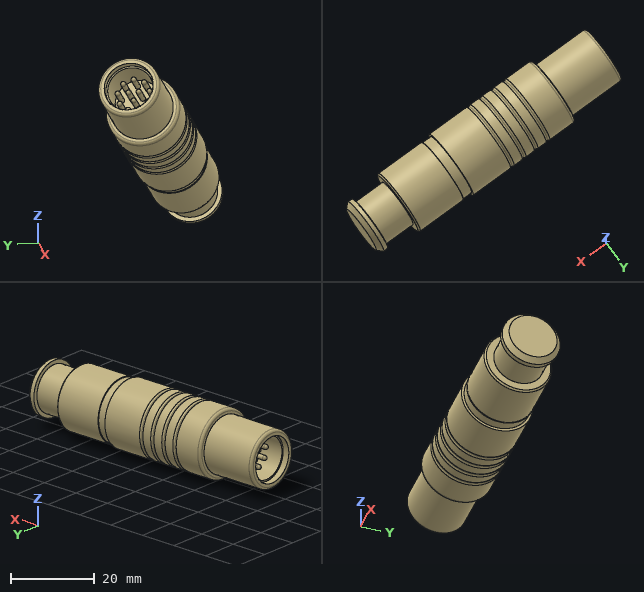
import cadquery as cq
import math

length = 71.8
grip_radius = 9.01

grip_start = 15.0
grip_end = 45.2
nut_start = 47.8
nut_end = 61.0
flange_start = 69.3

nose_radius = 7.55
collar_radius = 8.3
nut_radius = 8.55
neck_radius = 6.25
flange_radius = 7.3

edge_round = 0.7
nut_chamfer = 0.4
flange_chamfer = 1.3

groove_count = 4
first_groove = 23.1
groove_pitch = 3.5
groove_width = 1.1
groove_depth = 0.2

mouth_radius = 5.95
mouth_depth = 1.8
socket_radius = 5.5
socket_depth = 10.05

pin_radius = 0.65
pin_length = 5.2
outer_pin_count = 9
outer_pin_circle = 3.95
inner_pin_count = 3
inner_pin_circle = 1.45


def cylinder(start, end, radius):
    """Solid cylinder on the X axis between two stations."""
    return cq.Workplane("YZ", origin=(start, 0, 0)).circle(radius).extrude(end - start)


def make_body():
    """Stepped round body, each section with its own edge treatment."""
    nose = cylinder(0, grip_start, nose_radius).faces("<X").edges().fillet(edge_round)
    grip = cylinder(grip_start, grip_end, grip_radius).faces("<X").edges().fillet(edge_round)
    collar = cylinder(grip_end, nut_start, collar_radius)
    nut = cylinder(nut_start, nut_end, nut_radius).faces(">X").edges().chamfer(nut_chamfer)
    neck = cylinder(nut_end, flange_start, neck_radius)
    flange = cylinder(flange_start, length, flange_radius).faces(">X").edges().chamfer(flange_chamfer)
    return nose.union(grip).union(collar).union(nut).union(neck).union(flange)


def make_groove(center):
    """Shallow ring groove: a sloped front flank that runs tangent into a round rear flank."""
    half_width = groove_width / 2
    profile = (
        cq.Workplane("XY")
        .moveTo(center - half_width, grip_radius)
        .lineTo(center, grip_radius - groove_depth)
        .tangentArcPoint((center + half_width, grip_radius), relative=False)
        .lineTo(center + half_width, grip_radius + groove_depth)
        .lineTo(center - half_width, grip_radius + groove_depth)
        .close()
    )
    return profile.revolve(360, (0, 0, 0), (1, 0, 0))


def make_pins(count, circle_radius, start_angle):
    """Ring of dome-tipped pins standing on the socket floor, spaced evenly about the axis."""
    points = []
    for index in range(count):
        angle = math.radians(start_angle + index * 360 / count)
        points.append((circle_radius * math.cos(angle), circle_radius * math.sin(angle)))
    dome_center = socket_depth - pin_length + pin_radius
    base = cq.Workplane("YZ", origin=(dome_center, 0, 0)).pushPoints(points)
    shafts = base.circle(pin_radius).extrude(socket_depth - dome_center)
    return shafts.union(base.sphere(pin_radius))


body = make_body()
for groove_index in range(groove_count):
    body = body.cut(make_groove(first_groove + groove_index * groove_pitch))
body = body.cut(cylinder(0, mouth_depth, mouth_radius))
body = body.cut(cylinder(0, socket_depth, socket_radius))

outer_pins = make_pins(outer_pin_count, outer_pin_circle, 90)
inner_pins = make_pins(inner_pin_count, inner_pin_circle, -90)
result = body.union(outer_pins).union(inner_pins)